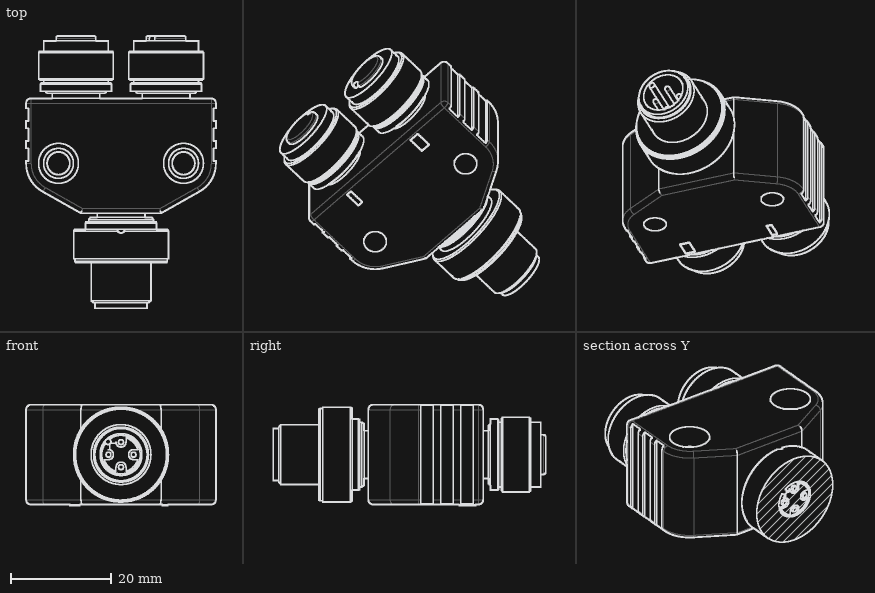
import math

import cadquery as cq

BODY_WIDTH = 38.0
BODY_DEPTH = 23.0
BODY_HEIGHT = 20.0
BODY_FILLET = 1.0
FRONT_FLAT_HALF = 8.0

HOLE_X = 12.5
HOLE_Y = 10.0
HOLE_DIAMETER = 4.5
RIM_DIAMETER = 6.0
COUNTERBORE_DIAMETER = 8.0
COUNTERBORE_DEPTH = 4.6
CORNER_RADIUS = BODY_WIDTH / 2 - HOLE_X

GROOVE_COUNT = 3
GROOVE_WIDTH = 2.5
GROOVE_PITCH = 4.0
GROOVE_DEPTH = 0.5
REAR_GROOVE_INSET = 3.25

PAD_HEIGHT = 0.2
PAD_LENGTH = 3.3
PAD_CENTER_Y = 19.8
PADS = ((-9.2, 2.0), (8.8, 1.1))

PLUG_LENGTH = 19.0
NUT_REAR_OFFSET = 3.2
NUT_REAR_DIAMETER = 18.5
PLUG_PROFILE = (
    (0.0, 9.6), (0.8, 9.6),
    (0.8, 12.3), (1.3, 13.0), (1.65, 13.0),
    (1.65, 14.0), (1.95, 14.25), (NUT_REAR_OFFSET, 14.25),
    (NUT_REAR_OFFSET, NUT_REAR_DIAMETER), (3.55, 19.0), (9.1, 19.0),
    (9.1, 18.5), (9.6, 18.5), (9.85, 18.2),
    (9.85, 12.0), (17.45, 12.0), (17.9, 11.0),
    (17.9, 10.45), (PLUG_LENGTH, 10.45),
)
BORE_DIAMETER = 8.38
BORE_DEPTH = 10.0
FLOOR_RECESS_DIAMETER = 7.7
FLOOR_RECESS_DEPTH = 1.0
INSERT_DIAMETER = 7.0
PIN_DIAMETER = 1.0
PIN_COUNT = 4
PIN_CIRCLE_RADIUS = 2.5
PIN_TIP_DEPTH = 1.9
PIN_POCKET_WIDTH = 2.0
PLUG_KEY_DIAMETER = 1.15
PLUG_KEY_RADIUS = 3.64
PLUG_KEY_END_DEPTH = 0.3
PLUG_KEY_ANGLE = 135.0
KEY_NOTCH_OFFSET = 2.27
MARK_DIAMETER = 1.5

SOCKET_X = 9.0
SOCKET_LENGTH = 12.5
SOCKET_TIP_LENGTH = 1.0
SOCKET_TIP_FILLET = 0.5
SOCKET_PROFILE = (
    (0.0, 9.6), (1.0, 9.6),
    (1.0, 11.6), (1.4, 12.3),
    (1.4, 14.25), (2.85, 14.25), (3.1, 13.8),
    (3.1, 13.0), (3.6, 13.0),
    (3.6, 14.25), (3.9, 15.0), (9.15, 15.0), (9.45, 14.5),
    (9.45, 13.0), (11.5, 13.0),
    (11.5, 8.0), (SOCKET_LENGTH, 8.0),
)
KEYWAY_DIAMETER = 1.5
KEYWAY_RADIUS = 3.9
SOCKET_KEYWAYS = ((-SOCKET_X, -45.0), (SOCKET_X, 135.0))


def polar(radius, angle):
    """X and Z of a point at an angle from +X around a connector axis."""
    return (
        radius * math.cos(math.radians(angle)),
        radius * math.sin(math.radians(angle)),
    )


def rod(diameter, x, z, y_start, y_end):
    """Round bar parallel to Y."""
    return cq.Workplane(
        cq.Solid.makeCylinder(
            diameter / 2, y_end - y_start, cq.Vector(x, y_start, z), cq.Vector(0, 1, 0)
        )
    )


def turned(profile, face_y, direction):
    """Solid of revolution about Y that grows away from the housing."""
    points = [(diameter / 2, face_y + direction * offset) for offset, diameter in profile]
    outline = [(0, points[0][1])] + points + [(0, points[-1][1])]
    return cq.Workplane("XY").polyline(outline).close().revolve(360, (0, 0, 0), (0, 1, 0))


def housing_block():
    run = HOLE_X - FRONT_FLAT_HALF
    center_distance = math.hypot(run, HOLE_Y)
    normal_angle = math.atan2(HOLE_Y, run) + math.acos(CORNER_RADIUS / center_distance)
    tangent = (
        HOLE_X - CORNER_RADIUS * math.cos(normal_angle),
        HOLE_Y - CORNER_RADIUS * math.sin(normal_angle),
    )
    middle_angle = (normal_angle + math.pi) / 2
    middle = (
        HOLE_X - CORNER_RADIUS * math.cos(middle_angle),
        HOLE_Y - CORNER_RADIUS * math.sin(middle_angle),
    )
    half = BODY_WIDTH / 2
    block = (
        cq.Workplane("XY", origin=(0, 0, -BODY_HEIGHT / 2))
        .moveTo(-half, BODY_DEPTH)
        .lineTo(-half, HOLE_Y)
        .threePointArc((-middle[0], middle[1]), (-tangent[0], tangent[1]))
        .lineTo(-FRONT_FLAT_HALF, 0)
        .lineTo(FRONT_FLAT_HALF, 0)
        .lineTo(*tangent)
        .threePointArc(middle, (half, HOLE_Y))
        .lineTo(half, BODY_DEPTH)
        .close()
        .extrude(BODY_HEIGHT)
    )
    block = block.edges("|Z and >Y").fillet(BODY_FILLET)
    return block.faces("<Z or >Z").edges().fillet(BODY_FILLET)


def cut_grooves(body):
    for index in range(GROOVE_COUNT):
        y = BODY_DEPTH - REAR_GROOVE_INSET - index * GROOVE_PITCH
        for side in (-1, 1):
            groove = cq.Workplane("XY").box(2 * GROOVE_DEPTH, GROOVE_WIDTH, BODY_HEIGHT)
            body = body.cut(groove.translate((side * BODY_WIDTH / 2, y, 0)))
    return body


def mounting_hole_cutter():
    """Revolved cutter that leaves a half-round rim standing on the counterbore floor."""
    top = BODY_HEIGHT / 2
    floor = top - COUNTERBORE_DEPTH
    hole = HOLE_DIAMETER / 2
    rim = RIM_DIAMETER / 2
    rim_round = (rim - hole) / 2
    return (
        cq.Workplane("XZ")
        .moveTo(0, -top)
        .lineTo(hole, -top)
        .lineTo(hole, floor)
        .threePointArc((hole + rim_round, floor + rim_round), (rim, floor))
        .lineTo(COUNTERBORE_DIAMETER / 2, floor)
        .lineTo(COUNTERBORE_DIAMETER / 2, top)
        .lineTo(0, top)
        .close()
        .revolve(360, (0, 0, 0), (0, 1, 0))
    )


def cut_mounting_holes(body):
    for x in (-HOLE_X, HOLE_X):
        body = body.cut(mounting_hole_cutter().translate((x, HOLE_Y, 0)))
    return body


def add_pads(body):
    """Each pad reaches one pad height into the housing so that it joins solidly."""
    for x, width in PADS:
        pad = cq.Workplane("XY").box(width, PAD_LENGTH, 2 * PAD_HEIGHT)
        body = body.union(pad.translate((x, PAD_CENTER_Y, -BODY_HEIGHT / 2)))
    return body


def cut_key_notch(insert, middle_y):
    """Clear the corner of the insert beside the key, out to the two neighbouring pockets."""
    size = INSERT_DIAMETER / 2
    near = PIN_POCKET_WIDTH / 2 + size / 2
    far = KEY_NOTCH_OFFSET + size / 2
    block = cq.Workplane("XY").box(size, FLOOR_RECESS_DEPTH, size)
    for x, z in ((-near, far), (-far, near)):
        insert = insert.cut(block.translate((x, middle_y, z)))
    return insert


def plug_insert(floor_y):
    """Disc on the bore floor with a U-shaped pocket around each pin."""
    insert = rod(INSERT_DIAMETER, 0, 0, floor_y, floor_y + FLOOR_RECESS_DEPTH)
    middle_y = floor_y + FLOOR_RECESS_DEPTH / 2
    for index in range(PIN_COUNT):
        angle = index * 360 / PIN_COUNT
        x, z = polar(PIN_CIRCLE_RADIUS, angle)
        slot = (
            cq.Workplane("XY")
            .box(INSERT_DIAMETER, FLOOR_RECESS_DEPTH, PIN_POCKET_WIDTH)
            .translate((PIN_CIRCLE_RADIUS + INSERT_DIAMETER / 2, middle_y, 0))
            .rotate((0, 0, 0), (0, 1, 0), angle)
        )
        insert = insert.cut(rod(PIN_POCKET_WIDTH, x, z, floor_y, floor_y + FLOOR_RECESS_DEPTH))
        insert = insert.cut(slot)
    return cut_key_notch(insert, middle_y)


def plug():
    end_y = -PLUG_LENGTH
    floor_y = end_y + BORE_DEPTH
    recess_y = floor_y + FLOOR_RECESS_DEPTH
    body = turned(PLUG_PROFILE, 0, -1)
    body = body.cut(rod(BORE_DIAMETER, 0, 0, end_y, floor_y))
    body = body.cut(rod(FLOOR_RECESS_DIAMETER, 0, 0, floor_y, recess_y))
    body = body.union(plug_insert(floor_y))

    key_x, key_z = polar(PLUG_KEY_RADIUS, PLUG_KEY_ANGLE)
    body = body.union(rod(PLUG_KEY_DIAMETER, key_x, key_z, end_y + PLUG_KEY_END_DEPTH, recess_y))

    for index in range(PIN_COUNT):
        x, z = polar(PIN_CIRCLE_RADIUS, index * 360 / PIN_COUNT)
        ball_y = end_y + PIN_TIP_DEPTH + PIN_DIAMETER / 2
        body = body.union(rod(PIN_DIAMETER, x, z, ball_y, recess_y + PIN_DIAMETER))
        body = body.union(cq.Workplane("XY").sphere(PIN_DIAMETER / 2).translate((x, ball_y, z)))

    mark = cq.Workplane("XY").sphere(MARK_DIAMETER / 2)
    return body.cut(mark.translate((0, -NUT_REAR_OFFSET, NUT_REAR_DIAMETER / 2)))


def socket(axis_x, keyway_angle):
    end_y = BODY_DEPTH + SOCKET_LENGTH
    keyway_x, keyway_z = polar(KEYWAY_RADIUS, keyway_angle)
    keyway = rod(KEYWAY_DIAMETER, keyway_x, keyway_z, end_y - SOCKET_TIP_LENGTH, end_y)
    body = turned(SOCKET_PROFILE, BODY_DEPTH, 1).faces(">Y").edges().fillet(SOCKET_TIP_FILLET)
    return body.cut(keyway).translate((axis_x, 0, 0))


result = add_pads(cut_mounting_holes(cut_grooves(housing_block())))
result = result.union(plug())
for socket_x, socket_keyway_angle in SOCKET_KEYWAYS:
    result = result.union(socket(socket_x, socket_keyway_angle))